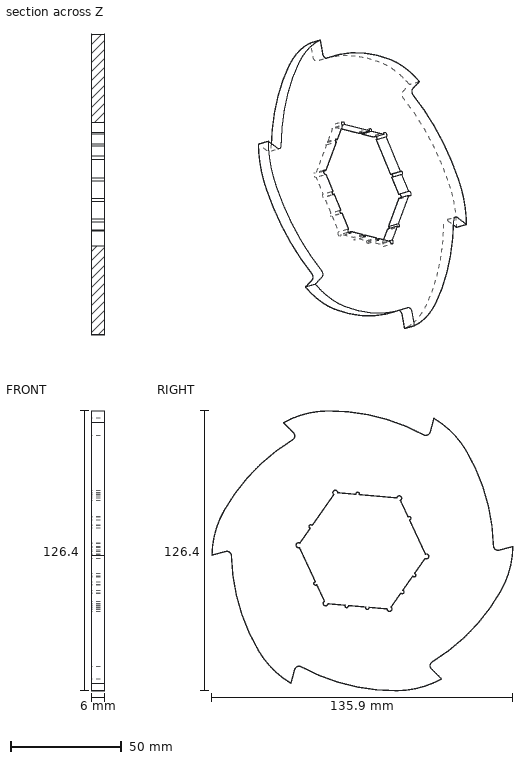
import cadquery as cq
import math

THICKNESS = 6.0
TOOTH_COUNT = 6
PITCH = 360 / TOOTH_COUNT

TIP_RADIUS = 68.0
TIP_ANGLE = -1.7
TIP_ARC_RADIUS = 42.1
TIP_ARC_START = 0.8
TIP_ARC_END = 29.5
BACK_ARC_RADIUS = 88.7
FACE_ANGLE = -15.0
ROOT_FILLET = 2.0
EDGE_TOLERANCE = 0.01

HEX_SIDES = 6
HEX_APOTHEM = 25.1
HEX_ANGLE = 95.0
HEX_STEP = 360 / HEX_SIDES
HEX_CORNER_RADIUS = HEX_APOTHEM / math.cos(math.pi / HEX_SIDES)
CORNER_RELIEF_RADIUS = 1.05

NOTCH_RADIUS = 0.75
NOTCH_CENTRE_DEPTH = 0.3
NOTCH_OFFSET = 4.4
EXTRA_NOTCH_OFFSET = -4.9
EXTRA_NOTCH_SIDES = (3, 4)

DISC_PLANE = cq.Plane(origin=(THICKNESS, 0, 0), xDir=(0, -1, 0), normal=(-1, 0, 0))


def polar(radius, angle, centre=(0, 0)):
    """Point at a distance and direction (degrees) from a centre."""
    turn = math.radians(angle)
    return centre[0] + radius * math.cos(turn), centre[1] + radius * math.sin(turn)


def rotate(point, angle):
    """Point turned about the disc centre (degrees)."""
    return polar(math.hypot(*point), math.degrees(math.atan2(point[1], point[0])) + angle)


def line_circle_hit(start, angle, centre, radius):
    """First point where a ray from outside a circle meets it."""
    direction = polar(1, angle)
    offset = (start[0] - centre[0], start[1] - centre[1])
    along = offset[0] * direction[0] + offset[1] * direction[1]
    gap = offset[0] ** 2 + offset[1] ** 2 - radius ** 2
    return polar(-along - math.sqrt(along ** 2 - gap), angle, start)


def tooth_points():
    """Tip, tip-arc middle, blend, back-arc middle, sharp root and next tip of the first tooth."""
    tip = polar(TIP_RADIUS, TIP_ANGLE)
    tip_centre = polar(-TIP_ARC_RADIUS, TIP_ARC_START, tip)
    tip_middle = polar(TIP_ARC_RADIUS, (TIP_ARC_START + TIP_ARC_END) / 2, tip_centre)
    blend = polar(TIP_ARC_RADIUS, TIP_ARC_END, tip_centre)

    back_centre = polar(-BACK_ARC_RADIUS, TIP_ARC_END, blend)
    next_tip = rotate(tip, PITCH)
    inward = FACE_ANGLE + PITCH + 180
    root = line_circle_hit(next_tip, inward, back_centre, BACK_ARC_RADIUS)
    root_normal = math.degrees(math.atan2(root[1] - back_centre[1], root[0] - back_centre[0]))
    back_middle = polar(BACK_ARC_RADIUS, (TIP_ARC_END + root_normal) / 2, back_centre)
    return tip, tip_middle, blend, back_middle, root, next_tip


def toothed_disc():
    """Disc with the saw-tooth outline and rounded tooth roots."""
    points = tooth_points()
    first_tip, _, _, _, first_root, _ = points
    outline = cq.Workplane(DISC_PLANE).moveTo(*first_tip)
    for index in range(TOOTH_COUNT):
        _, tip_middle, blend, back_middle, tooth_root, next_tip = (
            rotate(point, index * PITCH) for point in points
        )
        outline = outline.threePointArc(tip_middle, blend)
        outline = outline.threePointArc(back_middle, tooth_root)
        outline = outline.lineTo(*next_tip)
    disc = outline.close().extrude(THICKNESS)

    root_radius = math.hypot(*first_root)
    root_edges = [
        edge for edge in disc.edges("|X").vals()
        if abs(math.hypot(edge.Center().y, edge.Center().z) - root_radius) < EDGE_TOLERANCE
    ]
    return disc.newObject(root_edges).fillet(ROOT_FILLET)


def through_holes(centres, radius):
    """Round cutters through the full thickness."""
    return cq.Workplane(DISC_PLANE).pushPoints(centres).circle(radius).extrude(THICKNESS)


def notch_centre(side, offset):
    """Centre of a notch, offset clockwise from the middle of a hexagon side."""
    normal = HEX_ANGLE - side * HEX_STEP
    return polar(offset, normal - 90, polar(HEX_APOTHEM + NOTCH_CENTRE_DEPTH, normal))


def hex_bore():
    """Cutter for the hexagon with its corner reliefs and side notches."""
    corners = [
        polar(HEX_CORNER_RADIUS, HEX_ANGLE + (index + 0.5) * HEX_STEP)
        for index in range(HEX_SIDES)
    ]
    notches = [notch_centre(side, NOTCH_OFFSET) for side in range(HEX_SIDES)]
    notches += [notch_centre(side, EXTRA_NOTCH_OFFSET) for side in EXTRA_NOTCH_SIDES]

    bore = cq.Workplane(DISC_PLANE).polyline(corners).close().extrude(THICKNESS)
    bore = bore.union(through_holes(corners, CORNER_RELIEF_RADIUS))
    return bore.union(through_holes(notches, NOTCH_RADIUS))


result = toothed_disc().cut(hex_bore())